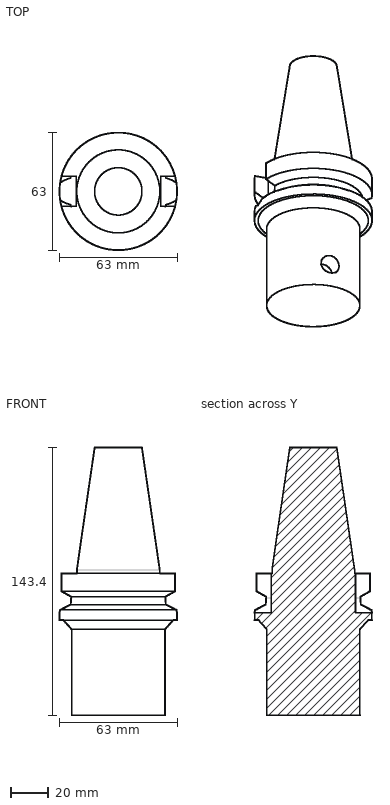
import cadquery as cq
import math

gauge_diameter = 44.45
taper_length = 65.4
taper_ratio = 7 / 24
tip_diameter = gauge_diameter - taper_length * taper_ratio

flange_diameter = 63.0
flange_top = -2.0
flange_bottom = -27.0
groove_center = -16.6
groove_diameter = 53.05
groove_floor_width = 4.2
groove_wall_angle = 30.0
groove_depth = (flange_diameter - groove_diameter) / 2
groove_wall_height = groove_depth * math.tan(math.radians(groove_wall_angle))
groove_floor_top = groove_center + groove_floor_width / 2
groove_floor_bottom = groove_center - groove_floor_width / 2

body_diameter = 50.0
body_bottom = -78.0
cone_top_diameter = 59.0
cone_height = 5.0

slot_width = 16.1
slot_floor_offset = 22.6
slot_bottom = -23.0
slot_radius = slot_width / 2
slot_arc_center = slot_bottom + slot_radius

screw_hole_diameter = 10.3
screw_hole_height = 13.0
screw_hole_depth = 11.0


def make_holder():
    """Revolve the half profile, given as (radius, Z), about the Z axis."""
    gauge_radius = gauge_diameter / 2
    flange_radius = flange_diameter / 2
    groove_radius = groove_diameter / 2
    body_radius = body_diameter / 2
    profile = [
        (0, taper_length),
        (tip_diameter / 2, taper_length),
        (gauge_radius, 0),
        (gauge_radius, flange_top),
        (flange_radius, flange_top),
        (flange_radius, groove_floor_top + groove_wall_height),
        (groove_radius, groove_floor_top),
        (groove_radius, groove_floor_bottom),
        (flange_radius, groove_floor_bottom - groove_wall_height),
        (flange_radius, flange_bottom),
        (cone_top_diameter / 2, flange_bottom),
        (body_radius, flange_bottom - cone_height),
        (body_radius, body_bottom),
        (0, body_bottom),
    ]
    return cq.Workplane("XZ").polyline(profile).close().revolve(360, (0, 0, 0), (0, 1, 0))


def make_drive_slot(side):
    """Cutter for one slot, open at the flange top; side is +1 for +X and -1 for -X."""
    return (
        cq.Workplane("YZ", origin=(side * slot_floor_offset, 0, 0))
        .moveTo(-slot_radius, flange_top)
        .lineTo(-slot_radius, slot_arc_center)
        .threePointArc((0, slot_bottom), (slot_radius, slot_arc_center))
        .lineTo(slot_radius, flange_top)
        .close()
        .extrude(side * flange_diameter / 2)
    )


def make_screw_hole():
    """Cutter along -Y, from the body surface to the hole floor."""
    hole_center = (0, body_diameter / 2, body_bottom + screw_hole_height)
    return cq.Workplane("XZ", origin=hole_center).circle(screw_hole_diameter / 2).extrude(screw_hole_depth)


result = make_holder()
for side in (-1, 1):
    result = result.cut(make_drive_slot(side))
result = result.cut(make_screw_hole())